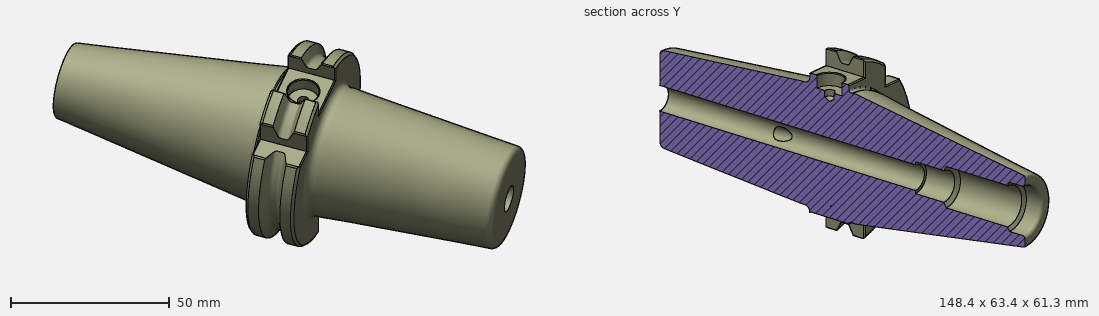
import cadquery as cq
import math


taper_length = 68.9
gauge_radius = 22.3
taper_slope = 7 / 24 / 2
tail_edge_radius = 1.0

land_end = 0.9
relief_ramp = 0.5
relief_depth = 0.1
relief_fillet = 0.7

flange_start = 2.7
flange_end = 18.7
flange_radius = 63.4 / 2
rim_chamfer_length = 0.9
rim_chamfer_height = 0.7

groove_center = 10.7
groove_width = 7.1
groove_floor_width = 3.1
groove_floor_radius = 28.2
groove_floor_fillet = 1.2

collar_radius = 42.0 / 2
collar_fillet = 2.1
collar_end = 22.1
nose_end = 79.5
nose_radius = 16.6
nose_edge_radius = 2.0

slot_width = 15.5
top_slot_floor = 24.6
bottom_slot_floor = 22.7
notch_offset = 18.4
broken_edge = 0.37

chip_pocket_radius = 10.0 / 2
chip_pocket_depth = 4.5
chip_rim_chamfer = 0.3
pilot_radius = 1.8
pilot_depth = 2.2
drill_half_angle = math.radians(59)

mouth_fillet = 1.2
counterbore_radius = 8.3
counterbore_depth = 6.4
thread_core_radius = 7.0
thread_core_depth = 32.0
stop_radius = 5.3
stop_depth = 44.5
through_radius = 4.3

coolant_radius = 2.2
coolant_pitch_radius = 27.0
coolant_angle = 20
coolant_tilt = math.radians(37)

tail_x = -taper_length
axis_start = (0, 0, 0)
axis_end = (1, 0, 0)


def make_body():
    """Taper, relief, collar and nose; the flange is added around it."""
    relief_radius = gauge_radius - relief_depth
    profile = (
        cq.Workplane("XZ")
        .moveTo(tail_x, 0)
        .lineTo(tail_x, gauge_radius - taper_length * taper_slope)
        .lineTo(0, gauge_radius)
        .lineTo(land_end, gauge_radius)
        .lineTo(land_end + relief_ramp, relief_radius)
        .lineTo(flange_start - relief_fillet, relief_radius)
        .radiusArc((flange_start, relief_radius + relief_fillet), -relief_fillet)
        .lineTo(flange_end, relief_radius + relief_fillet)
        .lineTo(flange_end, collar_radius + collar_fillet)
        .radiusArc((flange_end + collar_fillet, collar_radius), -collar_fillet)
        .lineTo(collar_end, collar_radius)
        .lineTo(nose_end, nose_radius)
        .lineTo(nose_end, 0)
        .close()
    )
    body = profile.revolve(360, axis_start, axis_end)
    body = body.faces("<X").edges().fillet(tail_edge_radius)
    return body.faces(">X").edges().fillet(nose_edge_radius)


def flange_block(y_low, y_high, z_low, z_high):
    """Box over the full flange width, used to cut into the rim."""
    width = flange_end - flange_start
    block = cq.Workplane("XY").box(width, y_high - y_low, z_high - z_low, centered=False)
    return block.translate((flange_start, y_low, z_low))


def make_slotted_disc():
    """Plain disc with two drive slots and a corner notch, their outer edges broken."""
    disc = cq.Workplane("YZ", origin=(flange_start, 0, 0)).circle(flange_radius)
    disc = disc.extrude(flange_end - flange_start)
    half_slot = slot_width / 2
    reach = flange_radius + 1.5
    disc = disc.cut(flange_block(-half_slot, half_slot, top_slot_floor, reach))
    disc = disc.cut(flange_block(-half_slot, half_slot, -reach, -bottom_slot_floor))
    disc = disc.cut(flange_block(-reach, -notch_offset, notch_offset, reach))

    inner_corner = math.hypot(notch_offset, notch_offset)
    corner_limit = (inner_corner + flange_radius) / 2
    rim_edges = disc.edges("|X").filter(
        lambda edge: math.hypot(edge.Center().y, edge.Center().z) > corner_limit
    )
    return disc.edges("|Y or |Z").add(rim_edges).chamfer(broken_edge)


def make_flange_form():
    """Full flange of revolution with chamfered rim and V-groove."""
    rim_radius = flange_radius - rim_chamfer_height
    form = (
        cq.Workplane("XZ")
        .moveTo(flange_start, 0)
        .lineTo(flange_start, rim_radius)
        .lineTo(flange_start + rim_chamfer_length, flange_radius)
        .lineTo(flange_end - rim_chamfer_length, flange_radius)
        .lineTo(flange_end, rim_radius)
        .lineTo(flange_end, 0)
        .close()
        .revolve(360, axis_start, axis_end)
    )
    half_floor = groove_floor_width / 2
    half_width = groove_width / 2
    groove = (
        cq.Workplane("XZ")
        .moveTo(groove_center - half_floor, groove_floor_radius)
        .lineTo(groove_center + half_floor, groove_floor_radius)
        .lineTo(groove_center + half_width, flange_radius)
        .lineTo(groove_center - half_width, flange_radius)
        .close()
        .revolve(360, axis_start, axis_end)
    )
    floor_edges = cq.selectors.RadiusNthSelector(0)
    return form.cut(groove.edges(floor_edges).fillet(groove_floor_fillet))


def make_bore():
    """Stepped bore along the axis, open at both ends."""
    cone_slope = math.tan(drill_half_angle)
    core_start = counterbore_depth + (counterbore_radius - thread_core_radius) / cone_slope
    core_tip = thread_core_depth + (thread_core_radius - stop_radius) / cone_slope
    return (
        cq.Workplane("XZ")
        .moveTo(tail_x, 0)
        .lineTo(tail_x, counterbore_radius + mouth_fillet)
        .radiusArc((tail_x + mouth_fillet, counterbore_radius), -mouth_fillet)
        .lineTo(tail_x + counterbore_depth, counterbore_radius)
        .lineTo(tail_x + core_start, thread_core_radius)
        .lineTo(tail_x + thread_core_depth, thread_core_radius)
        .lineTo(tail_x + core_tip, stop_radius)
        .lineTo(tail_x + stop_depth, stop_radius)
        .lineTo(tail_x + stop_depth, through_radius)
        .lineTo(nose_end, through_radius)
        .lineTo(nose_end, 0)
        .close()
        .revolve(360, axis_start, axis_end)
    )


def make_chip_pocket():
    """Round pocket in the top slot floor with a drilled pilot below it."""
    pocket_floor = top_slot_floor - chip_pocket_depth
    pilot_end = pocket_floor - pilot_depth
    return (
        cq.Workplane("XZ")
        .moveTo(0, top_slot_floor)
        .lineTo(chip_pocket_radius + chip_rim_chamfer, top_slot_floor)
        .lineTo(chip_pocket_radius, top_slot_floor - chip_rim_chamfer)
        .lineTo(chip_pocket_radius, pocket_floor)
        .lineTo(pilot_radius, pocket_floor)
        .lineTo(pilot_radius, pilot_end)
        .lineTo(0, pilot_end - pilot_radius / math.tan(drill_half_angle))
        .close()
        .revolve(360, (0, 0, 0), (0, 1, 0))
        .translate((groove_center, 0, 0))
    )


def make_coolant_hole(angle):
    """Slanted hole from the flange face to the axis, turned about the axis."""
    lead = 2 * coolant_radius
    length = coolant_pitch_radius / math.sin(coolant_tilt) + lead
    direction = cq.Vector(math.cos(coolant_tilt), math.sin(-coolant_tilt), 0)
    start = cq.Vector(flange_start, coolant_pitch_radius, 0) - direction * lead
    hole = cq.Workplane(cq.Solid.makeCylinder(coolant_radius, length, start, direction))
    return hole.rotate(axis_start, axis_end, angle)


flange = make_slotted_disc().intersect(make_flange_form())
result = make_body().union(flange)
result = result.cut(make_bore())
result = result.cut(make_chip_pocket())
for half_turn in (0, 180):
    result = result.cut(make_coolant_hole(coolant_angle + half_turn))